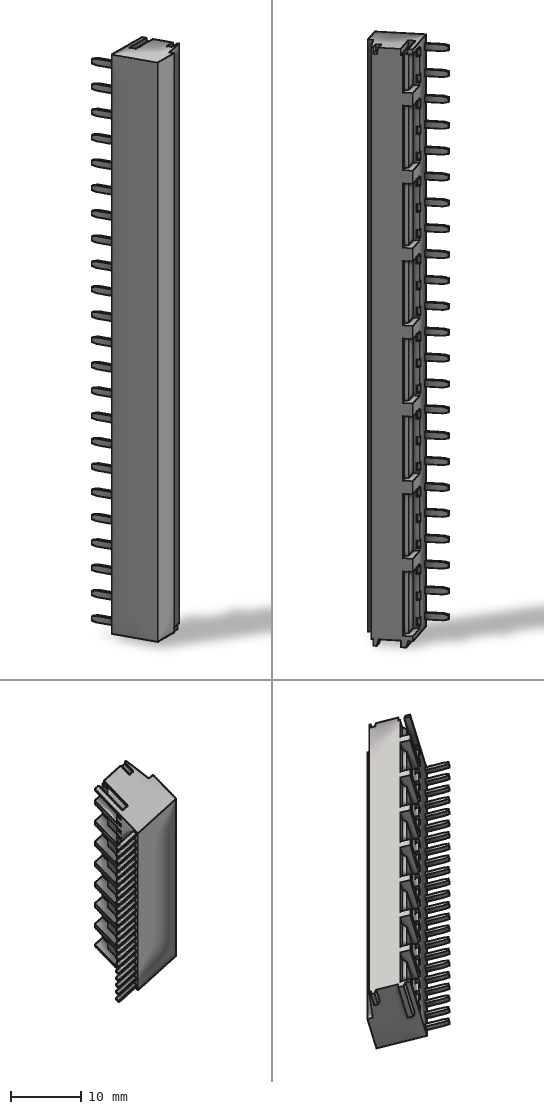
import cadquery as cq

total_height = 88.2

key_height = 1.0
housing_depth = 7.5
housing_width = 9.0
housing_height = total_height - key_height
step_y = 4.85
slope_foot_x = 6.7
slope_top_x = 6.1

pin_count = 23
end_margin = 1.7
pin_pitch = (housing_height - 2 * end_margin) / (pin_count - 1)
pin_length = 3.4
pin_width = 1.0
pin_thickness = 0.6
pin_y = 0.6
pin_tip_length = 0.8
pin_tip_width = 0.6

pins_per_window = 3
rib_thickness = 1.9
window_floor_y = 4.4
window_depth = 1.0
trough_depth = 1.5
trough_y = 7.85

notch_height = 1.15
notch_width = 0.9
notch_depth = 0.5

key_taper = 0.3
long_key_x = 0.7
long_key_width = 1.1
long_key_length = 5.0
short_key_x = 5.0
short_key_width = 0.8
short_key_length = 1.85


def pin_z(index):
    """Height of a pin centre, counted from the bottom end."""
    return end_margin + index * pin_pitch


def make_housing():
    outline = [
        (0, 0),
        (housing_depth, 0),
        (housing_depth, step_y),
        (slope_foot_x, step_y),
        (slope_top_x, housing_width),
        (0, housing_width),
    ]
    return cq.Workplane("XY").polyline(outline).close().extrude(housing_height)


def make_window(first_pin, number_of_pins):
    """Stepped recess in the pin face, open towards +Y."""
    height = number_of_pins * pin_pitch - rib_thickness
    middle_z = (pin_z(first_pin) + pin_z(first_pin + number_of_pins - 1)) / 2
    outline = [
        (0, window_floor_y),
        (window_depth, window_floor_y),
        (window_depth, trough_y - (trough_depth - window_depth)),
        (trough_depth, trough_y),
        (trough_depth, housing_width),
        (0, housing_width),
    ]
    profile = cq.Workplane("XY", origin=(0, 0, middle_z - height / 2)).polyline(outline).close()
    return profile.extrude(height)


def make_notch(z):
    notch = cq.Workplane("XY").box(notch_depth, notch_width, notch_height, centered=(False, False, True))
    return notch.translate((0, window_floor_y - notch_width, z))


def make_pin(z):
    """Flat pin pointing to -X, its tip narrowed in height."""
    shoulder_x = pin_tip_length - pin_length
    outline = [
        (0, -pin_width / 2),
        (shoulder_x, -pin_width / 2),
        (-pin_length, -pin_tip_width / 2),
        (-pin_length, pin_tip_width / 2),
        (shoulder_x, pin_width / 2),
        (0, pin_width / 2),
    ]
    pin = cq.Workplane("XZ").polyline(outline).close().extrude(pin_thickness / 2, both=True)
    return pin.translate((0, pin_y, z))


def make_key(x, width, length, root_z):
    """Bar hanging from root_z, flush with the +Y side, with one tapered flank."""
    outline = [
        (x, root_z),
        (x + key_taper, root_z - key_height),
        (x + width, root_z - key_height),
        (x + width, root_z),
    ]
    bar = cq.Workplane("XZ", origin=(0, housing_width, 0)).polyline(outline).close()
    return bar.extrude(length)


result = make_housing()

for first in range(0, pin_count, pins_per_window):
    result = result.cut(make_window(first, min(pins_per_window, pin_count - first)))

for index in range(pin_count):
    result = result.cut(make_notch(pin_z(index)))
    result = result.union(make_pin(pin_z(index)))

for key_size in (
    (long_key_x, long_key_width, long_key_length),
    (short_key_x, short_key_width, short_key_length),
):
    result = result.cut(make_key(*key_size, root_z=housing_height))
    result = result.union(make_key(*key_size, root_z=0))